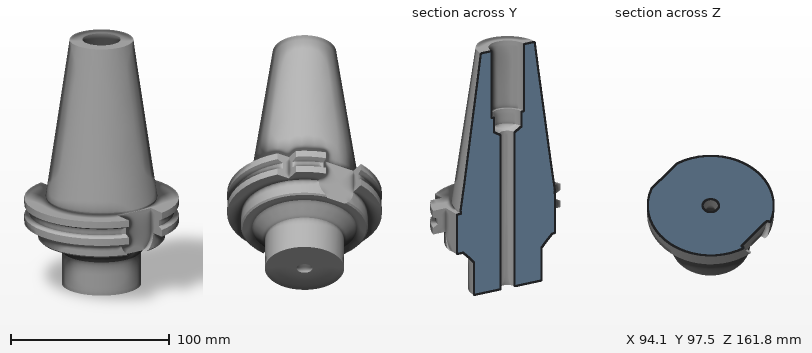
import cadquery as cq
import math


gauge_diameter = 69.85
taper_ratio = 7 / 24
taper_length = 101.75

neck_rim_z = -1.9
neck_diameter = gauge_diameter

flange_diameter = 97.5
flange_top_z = -3.2
flange_bottom_z = -19.1
groove_centre_z = -11.1
groove_floor_diameter = 91.25
groove_floor_width = 3.9
groove_mouth_width = 7.0

collar_diameter = 80.0
collar_bottom_z = -30.0
collar_chamfer = 1.0
relief_height = 1.0
relief_depth = 0.15
spigot_diameter = 50.0
cone_height = 8.0
shank_bottom_z = -60.0

slot_width = 25.7
slot_arc_centre_z = flange_bottom_z
left_slot_floor_x = -37.7
right_slot_floor_x = 35.3

notch_edge = 30.0

thread_bore_diameter = 24.0
thread_bore_depth = 45.0
pilot_bore_diameter = 20.0
pilot_bore_depth = 55.0
drill_point_angle = 118.0
through_diameter = 10.0


def revolve_about_z(profile):
    """Solid of revolution from a closed list of (radius, z) points."""
    return cq.Workplane("YZ").polyline(profile).close().revolve(360, (0, 0), (0, 1))


def make_body():
    """Outer shape: taper, neck, grooved flange, collar, cone and spigot."""
    gauge_radius = gauge_diameter / 2
    top_radius = gauge_radius - taper_length * taper_ratio / 2
    rim_radius = gauge_radius - neck_rim_z * taper_ratio / 2
    neck_radius = neck_diameter / 2
    flange_radius = flange_diameter / 2
    groove_radius = groove_floor_diameter / 2
    half_floor = groove_floor_width / 2
    half_mouth = groove_mouth_width / 2
    collar_radius = collar_diameter / 2
    relief_radius = collar_radius - relief_depth
    relief_bottom_z = flange_bottom_z - relief_height
    spigot_radius = spigot_diameter / 2
    profile = [
        (0, taper_length),
        (top_radius, taper_length),
        (rim_radius, neck_rim_z),
        (neck_radius, neck_rim_z),
        (neck_radius, flange_top_z),
        (flange_radius, flange_top_z),
        (flange_radius, groove_centre_z + half_mouth),
        (groove_radius, groove_centre_z + half_floor),
        (groove_radius, groove_centre_z - half_floor),
        (flange_radius, groove_centre_z - half_mouth),
        (flange_radius, flange_bottom_z),
        (relief_radius, flange_bottom_z),
        (relief_radius, relief_bottom_z),
        (collar_radius, relief_bottom_z),
        (collar_radius, collar_bottom_z + collar_chamfer),
        (collar_radius - collar_chamfer, collar_bottom_z),
        (spigot_radius + cone_height, collar_bottom_z),
        (spigot_radius, collar_bottom_z - cone_height),
        (spigot_radius, shank_bottom_z),
        (0, shank_bottom_z),
    ]
    return revolve_about_z(profile)


def make_drive_slot(floor_x, side):
    """Round-ended slot cutter from floor_x outwards; side is -1 or +1 along X."""
    half_width = slot_width / 2
    outline = (
        cq.Workplane("YZ", origin=(floor_x, 0, 0))
        .moveTo(-half_width, flange_top_z)
        .lineTo(-half_width, slot_arc_centre_z)
        .threePointArc((0, slot_arc_centre_z - half_width), (half_width, slot_arc_centre_z))
        .lineTo(half_width, flange_top_z)
        .close()
    )
    return outline.extrude(side * flange_diameter / 2)


def make_corner_notch():
    """Square cutter that opens the -X, +Y corner of the flange."""
    size = flange_diameter / 2
    height = flange_top_z - flange_bottom_z
    cutter = cq.Workplane("XY").box(size, size, height, centered=False)
    return cutter.translate((-notch_edge - size, notch_edge, flange_bottom_z))


def make_bore():
    """Stepped bore: threaded part, pilot part with drill point, through hole."""
    thread_radius = thread_bore_diameter / 2
    pilot_radius = pilot_bore_diameter / 2
    through_radius = through_diameter / 2
    thread_floor_z = taper_length - thread_bore_depth
    pilot_floor_z = taper_length - pilot_bore_depth
    point_height = (pilot_radius - through_radius) / math.tan(math.radians(drill_point_angle / 2))
    profile = [
        (0, taper_length),
        (thread_radius, taper_length),
        (thread_radius, thread_floor_z),
        (pilot_radius, thread_floor_z),
        (pilot_radius, pilot_floor_z),
        (through_radius, pilot_floor_z - point_height),
        (through_radius, shank_bottom_z),
        (0, shank_bottom_z),
    ]
    return revolve_about_z(profile)


result = (
    make_body()
    .cut(make_drive_slot(left_slot_floor_x, -1))
    .cut(make_drive_slot(right_slot_floor_x, 1))
    .cut(make_corner_notch())
    .cut(make_bore())
)